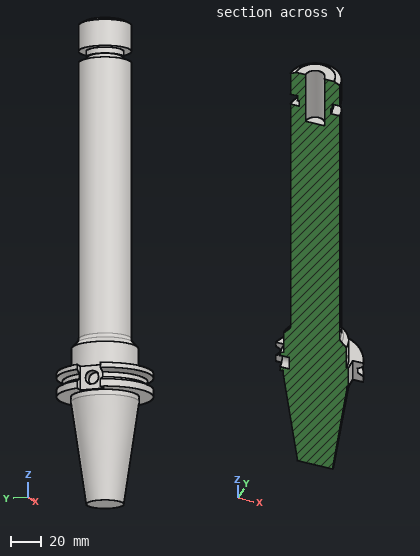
import cadquery as cq
import math

total_height = 322.2
taper_length = 68.3
gauge_collar_height = 3.2
flange_height = 15.8
shoulder_height = 16.5
shoulder_cone_height = 4.0
shoulder_fillet_height = 3.0
neck_height = 4.0
thread_height = 4.0
nut_height = 19.5
nut_chamfer_height = 2.3

flange_bottom = taper_length + gauge_collar_height
flange_top = flange_bottom + flange_height
shoulder_top = flange_top + shoulder_height
cone_top = shoulder_top + shoulder_cone_height
body_bottom = cone_top + shoulder_fillet_height
nut_bottom = total_height - nut_height
thread_bottom = nut_bottom - thread_height
body_top = thread_bottom - neck_height

gauge_radius = 22.2
taper_ratio = 7 / 24
taper_end_radius = gauge_radius - taper_length * taper_ratio / 2
flange_radius = 31.5
shoulder_radius = 22.0
cone_top_radius = 18.5
body_diameter = 34.5
body_radius = body_diameter / 2
neck_radius = 11.3
thread_radius = 12.2
nut_radius = body_radius
nut_face_radius = 13.2

groove_depth = 4.0
groove_floor_width = 3.2
groove_flank_angle = 30.0
groove_bottom = flange_bottom + 4.8

bore_radius = 6.5
bore_depth = 38.7

slot_width = 16.0
left_slot_floor = 24.5
right_slot_floor = 23.2
slot_hole_diameter = 9.0
slot_hole_depth = 6.5


def make_turned_body():
    """Revolve the half profile of the holder and its nut about Z."""
    groove_flank = groove_depth * math.tan(math.radians(groove_flank_angle))
    groove_floor_radius = flange_radius - groove_depth
    floor_bottom = groove_bottom + groove_flank
    floor_top = floor_bottom + groove_floor_width
    groove_top = floor_top + groove_flank
    profile = (
        cq.Workplane("XZ")
        .lineTo(taper_end_radius, 0)
        .lineTo(gauge_radius, taper_length)
        .lineTo(gauge_radius, flange_bottom)
        .lineTo(flange_radius, flange_bottom)
        .lineTo(flange_radius, groove_bottom)
        .lineTo(groove_floor_radius, floor_bottom)
        .lineTo(groove_floor_radius, floor_top)
        .lineTo(flange_radius, groove_top)
        .lineTo(flange_radius, flange_top)
        .lineTo(shoulder_radius, flange_top)
        .lineTo(shoulder_radius, shoulder_top)
        .lineTo(cone_top_radius, cone_top)
        .tangentArcPoint((body_radius, body_bottom), relative=False)
        .lineTo(body_radius, body_top)
        .lineTo(neck_radius, body_top)
        .lineTo(neck_radius, thread_bottom)
        .lineTo(thread_radius, thread_bottom)
        .lineTo(thread_radius, nut_bottom)
        .lineTo(nut_radius, nut_bottom)
        .lineTo(nut_radius, total_height - nut_chamfer_height)
        .lineTo(nut_face_radius, total_height)
        .lineTo(0, total_height)
        .close()
    )
    return profile.revolve(360, (0, 0, 0), (0, 1, 0))


def make_bore():
    return cq.Workplane("XY", origin=(0, 0, total_height - bore_depth)).circle(bore_radius).extrude(bore_depth)


def make_drive_slot(side, floor_distance):
    """Box open to the outside; side is -1 for -X and +1 for +X."""
    box = cq.Workplane("XY").box(flange_radius, slot_width, flange_height)
    center_x = side * (floor_distance + flange_radius / 2)
    return box.translate((center_x, 0, flange_bottom + flange_height / 2))


def make_slot_hole():
    center_z = flange_bottom + flange_height / 2
    plane = cq.Workplane("YZ", origin=(-left_slot_floor, 0, center_z))
    return plane.circle(slot_hole_diameter / 2).extrude(slot_hole_depth)


result = (
    make_turned_body()
    .cut(make_bore())
    .cut(make_drive_slot(-1, left_slot_floor))
    .cut(make_drive_slot(1, right_slot_floor))
    .cut(make_slot_hole())
)